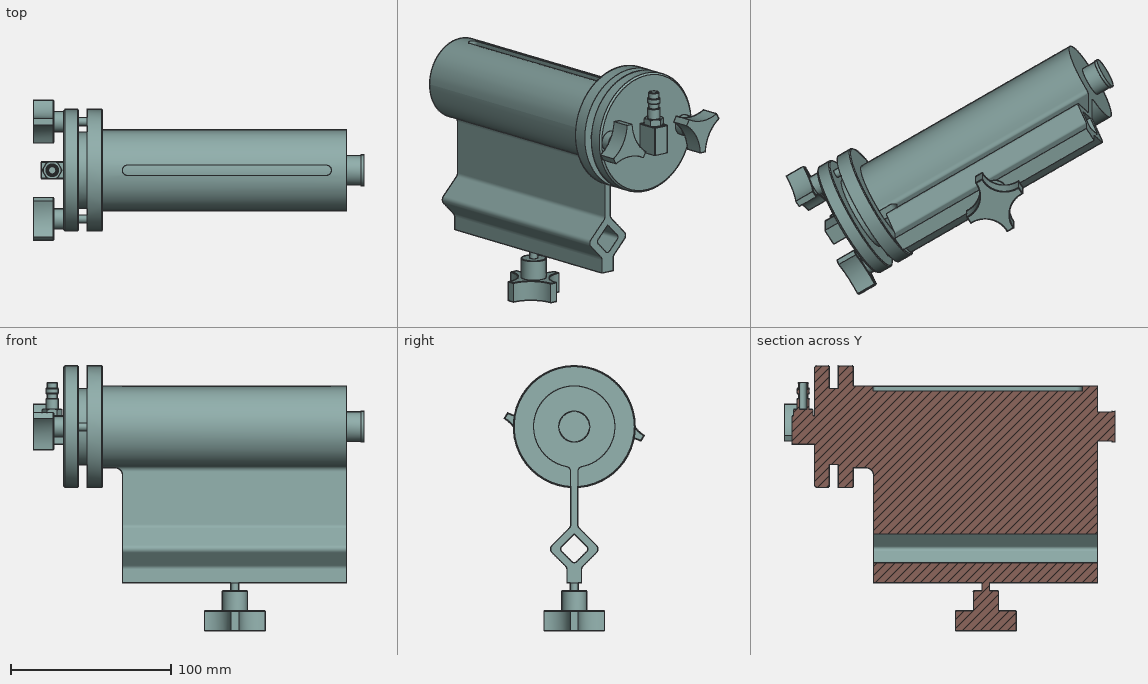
import cadquery as cq
import math


overall_length = 206.2
overall_height = 165.5
tube_end_x = 195.3
tube_diameter = 50.7
slot_floor_diameter = 44.5
slot_width = 6.4
slot_start_x = 55.5
slot_end_x = 185.8

flange_diameter = 76.1
cap_start_x = 18.8
cap_end_x = 28.0
flange_start_x = 33.6
flange_end_x = 43.1
cap_front_chamfer = 1.13
flange_edge_chamfer = 0.6
spacer_diameter = 47.8

boss_diameter = 18.5
rim_diameter = 19.4
rim_width = 1.9

clamp_offset_y = 30.3
clamp_z = -0.2
clamp_knob_thickness = 12.8
clamp_tip_radius = 14.2
clamp_tip_width = 4.1
clamp_waist_radius = 6.2
clamp_collar_diameter = 12.8
clamp_pin_diameter = 5.2

fitting_x = 11.8
block_front_x = 4.7
block_width = 10.7
block_bottom_z = -11.1
block_top_z = 6.8
block_chamfer = 0.5
nut_top_z = 11.0
nut_chamfer = 0.6
barb_diameter = 7.8
barb_neck_diameter = 6.4
barb_shoulder_z = 17.5
ring_bottom_z = 20.5
ring_top_z = 24.0
barb_top_z = 27.6
barb_edge_chamfer = 0.5
barb_bore_diameter = 4.5

rail_start_x = 55.5
profile_length = tube_end_x - flange_end_x
web_thickness = 4.5
web_front_fillet = 4.3
web_lip_z = -25.8
web_side_fillet = 3.3
diamond_center_z = -76.3
diamond_half_diagonal = 16.0
rail_fillet = 3.0
opening_half_diagonal = 9.3
opening_corner_fillet = 2.0
foot_width = 9.3
foot_bottom_z = -97.4

screw_x = 125.6
screw_diameter = 5.2
screw_collar_diameter = 15.9
screw_collar_top_z = -102.3
screw_knob_top_z = -114.7
screw_knob_bottom_z = flange_diameter / 2 - overall_height
screw_tip_radius = 19.0
screw_tip_width = 5.0
screw_waist_radius = 10.0
knob_edge_chamfer = 0.5


def rod_x(diameter, start_x, end_x, y=0.0, z=0.0):
    """Cylinder parallel to the X axis."""
    section = cq.Workplane("YZ", origin=(start_x, y, z)).circle(diameter / 2)
    return section.extrude(end_x - start_x)


def rod_z(diameter, bottom_z, top_z, x):
    """Cylinder parallel to the Z axis."""
    section = cq.Workplane("XY", origin=(x, 0, bottom_z)).circle(diameter / 2)
    return section.extrude(top_z - bottom_z)


def polar(radius, angle):
    return (radius * math.cos(angle), radius * math.sin(angle))


def lobed_outline(plane, lobes, tip_radius, tip_width, waist_radius, first_angle):
    """Star outline with flat tips joined by hollow arcs."""
    step = 2 * math.pi / lobes
    corner_radius = math.hypot(tip_radius, tip_width / 2)
    corner_angle = math.atan2(tip_width / 2, tip_radius)
    outline = plane.moveTo(*polar(corner_radius, first_angle - corner_angle))
    for lobe in range(lobes):
        angle = first_angle + lobe * step
        outline = outline.lineTo(*polar(corner_radius, angle + corner_angle))
        outline = outline.threePointArc(
            polar(waist_radius, angle + step / 2),
            polar(corner_radius, angle + step - corner_angle),
        )
    return outline.close()


def make_tube():
    """Tube with a long groove along its top and a rimmed boss on its far end."""
    tube = rod_x(tube_diameter, flange_end_x, tube_end_x)
    slot_length = slot_end_x - slot_start_x
    slot = (
        cq.Workplane("XY", origin=((slot_start_x + slot_end_x) / 2, 0, 0))
        .slot2D(slot_length, slot_width)
        .extrude(tube_diameter)
        .cut(rod_x(slot_floor_diameter, flange_end_x, tube_end_x))
    )
    boss = rod_x(boss_diameter, tube_end_x, overall_length)
    rim = rod_x(rim_diameter, overall_length - rim_width, overall_length)
    return tube.cut(slot).union(boss).union(rim)


def make_flanges():
    cap = rod_x(flange_diameter, cap_start_x, cap_end_x)
    cap = cap.faces("<X").chamfer(cap_front_chamfer).faces(">X").chamfer(flange_edge_chamfer)
    flange = rod_x(flange_diameter, flange_start_x, flange_end_x)
    flange = flange.faces(">X").chamfer(flange_edge_chamfer)
    spacer = rod_x(spacer_diameter, cap_end_x, flange_start_x)
    return cap.union(spacer).union(flange)


def make_clamp(side):
    """Clamp knob, collar and pin; the +Y knob points up and the -Y knob points down."""
    y = side * clamp_offset_y
    plane = cq.Workplane("YZ", origin=(0, y, clamp_z))
    tip_angle = side * math.pi / 2
    outline = lobed_outline(plane, 3, clamp_tip_radius, clamp_tip_width, clamp_waist_radius, tip_angle)
    knob = outline.extrude(clamp_knob_thickness)
    knob = knob.faces(">X").chamfer(knob_edge_chamfer)
    collar = rod_x(clamp_collar_diameter, clamp_knob_thickness, cap_start_x + cap_front_chamfer, y, clamp_z)
    pin = rod_x(clamp_pin_diameter, clamp_knob_thickness, flange_start_x, y, clamp_z)
    return knob.union(collar).union(pin)


def make_fitting():
    block_depth = cap_start_x - block_front_x
    block_height = block_top_z - block_bottom_z
    block = (
        cq.Workplane("XY", origin=(block_front_x, 0, block_bottom_z))
        .box(block_depth, block_width, block_height, centered=(False, True, False))
        .edges("(<X and |Z) or (>Z and (not >X))")
        .chamfer(block_chamfer)
    )

    nut_diameter = block_width / math.cos(math.pi / 6)
    nut_height = nut_top_z - block_top_z
    nut_plane = cq.Workplane("XY", origin=(fitting_x, 0, block_top_z))
    nut = nut_plane.polygon(6, nut_diameter).extrude(nut_height)
    turned = rod_z(nut_diameter, block_top_z, nut_top_z, fitting_x).faces(">Z").chamfer(nut_chamfer)
    nut = nut.intersect(turned)

    base = rod_z(barb_diameter, nut_top_z, barb_shoulder_z, fitting_x)
    base = base.faces(">Z").chamfer(barb_edge_chamfer)
    neck = rod_z(barb_neck_diameter, barb_shoulder_z, barb_top_z, fitting_x)
    neck = neck.faces(">Z").chamfer(barb_edge_chamfer)
    ring = rod_z(barb_diameter, ring_bottom_z, ring_top_z, fitting_x).edges().chamfer(barb_edge_chamfer)
    bore = rod_z(barb_bore_diameter, nut_top_z, barb_top_z, fitting_x)
    barb = base.union(neck).union(ring).cut(bore)
    return block.union(nut).union(barb)


def round_rail_corners(rail, half_width, side):
    """Fillet the two inner corners above (side 1) or below (side -1) the diamond."""
    corner_z = diamond_center_z + side * (diamond_half_diagonal - half_width)
    margin = 0.2
    corners = cq.selectors.BoxSelector(
        (flange_end_x - margin, -half_width - margin, corner_z - margin),
        (tube_end_x + margin, half_width + margin, corner_z + margin),
    )
    return rail.edges("|X").edges(corners).fillet(rail_fillet)


def make_rail():
    """Web, hollow diamond and foot, extruded from the flange to the end of the tube."""
    plane = cq.Workplane("YZ", origin=(flange_end_x, 0, diamond_center_z))

    def diamond(half_diagonal):
        corners = [(half_diagonal, 0), (0, half_diagonal), (-half_diagonal, 0), (0, -half_diagonal)]
        return plane.polyline(corners).close().extrude(profile_length)

    body = diamond(diamond_half_diagonal).edges("|X and (<Y or >Y)").fillet(rail_fillet)
    opening = diamond(opening_half_diagonal).edges("|X and (not >Z)").fillet(opening_corner_fillet)
    web_height = -diamond_center_z
    web = plane.center(0, web_height / 2).rect(web_thickness, web_height).extrude(profile_length)
    foot_height = diamond_center_z - foot_bottom_z
    foot = plane.center(0, -foot_height / 2).rect(foot_width, foot_height).extrude(profile_length)
    rail = body.union(web).union(foot)

    rail = round_rail_corners(rail, web_thickness / 2, 1)
    rail = round_rail_corners(rail, foot_width / 2, -1)
    return rail.cut(opening)


def make_web_side_fillets():
    """Concave strips that blend both web faces into the tube."""
    tube_radius = tube_diameter / 2
    half_web = web_thickness / 2
    center_y = half_web + web_side_fillet
    center_distance = tube_radius + web_side_fillet
    center_z = -math.sqrt(center_distance**2 - center_y**2)
    strip = (
        cq.Workplane("YZ", origin=(flange_end_x, 0, 0))
        .moveTo(0, 0)
        .lineTo(center_y * tube_radius / center_distance, center_z * tube_radius / center_distance)
        .lineTo(center_y, center_z)
        .lineTo(0, center_z)
        .close()
        .extrude(profile_length)
    )
    strip = strip.cut(
        cq.Workplane("YZ", origin=(flange_end_x, center_y, center_z))
        .circle(web_side_fillet)
        .extrude(profile_length)
    )
    return strip.union(strip.mirror("XZ"))


def make_front_relief():
    """Clearance in front of the rail, with a rounded top corner that leaves a thin lip under the tube."""
    depth = web_lip_z - foot_bottom_z
    relief = (
        cq.Workplane("XY", origin=(flange_end_x, 0, foot_bottom_z))
        .box(rail_start_x - flange_end_x, spacer_diameter, depth, centered=(False, True, False))
    )
    return relief.edges(">X and >Z").fillet(web_front_fillet)


def make_screw_knob():
    screw = rod_z(screw_diameter, screw_collar_top_z, foot_bottom_z, screw_x)
    collar = rod_z(screw_collar_diameter, screw_knob_top_z, screw_collar_top_z, screw_x)
    collar = collar.faces(">Z").chamfer(knob_edge_chamfer)
    plane = cq.Workplane("XY", origin=(screw_x, 0, screw_knob_bottom_z))
    outline = lobed_outline(plane, 4, screw_tip_radius, screw_tip_width, screw_waist_radius, 0)
    knob = outline.extrude(screw_knob_top_z - screw_knob_bottom_z)
    knob = knob.faces("<Z or >Z").chamfer(knob_edge_chamfer)
    return screw.union(collar).union(knob)


rail = make_rail().union(make_web_side_fillets()).cut(make_front_relief())

result = (
    make_tube()
    .union(make_flanges())
    .union(make_clamp(1))
    .union(make_clamp(-1))
    .union(make_fitting())
    .union(rail)
    .union(make_screw_knob())
)